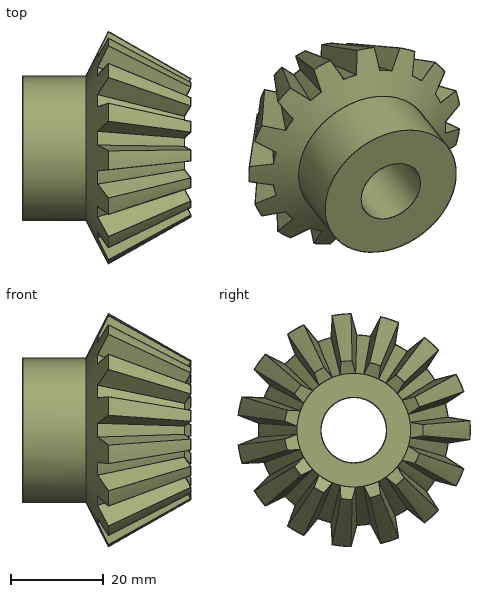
import cadquery as cq
import math

tooth_count = 15
bore_radius = 7.05
hub_radius = 15.6
hub_length = 13.7
overall_length = 36.3

tip_radius = 25.15
tip_x = 18.5
front_tip_radius = 15.0
tip_slope = (tip_radius - front_tip_radius) / (overall_length - tip_x)
apex_x = tip_x + tip_radius / tip_slope

back_slope = (tip_radius - hub_radius) / (tip_x - hub_length)

root_radius = 20.55
root_x = hub_length + (root_radius - hub_radius) / back_slope
root_slope = root_radius / (apex_x - root_x)
front_root_x = (
    (root_slope * apex_x - front_tip_radius + back_slope * overall_length)
    / (root_slope + back_slope)
)
front_root_radius = root_slope * (apex_x - front_root_x)

root_half_angle = math.radians(4.15)
tip_half_angle = math.radians(7.35)
flank_extension = 1.6
cutter_overrun = 4.0


def make_blank():
    profile = [
        (0, bore_radius),
        (0, hub_radius),
        (hub_length, hub_radius),
        (tip_x, tip_radius),
        (overall_length, front_tip_radius),
        (front_root_x, front_root_radius),
        (front_root_x, bore_radius),
    ]
    return cq.Workplane("XY").polyline(profile).close().revolve(360, (0, 0), (1, 0))


def gap_section(x):
    """Gap outline in the plane at x, shrinking towards the apex; centred on -Y."""
    distance = apex_x - x
    root = root_slope * distance
    tip = tip_slope * distance
    root_y = -root * math.cos(root_half_angle)
    root_z = root * math.sin(root_half_angle)
    tip_y = -tip * math.cos(tip_half_angle)
    tip_z = tip * math.sin(tip_half_angle)
    outer_y = root_y + flank_extension * (tip_y - root_y)
    outer_z = root_z + flank_extension * (tip_z - root_z)
    return (
        cq.Workplane("YZ", origin=(x, 0, 0))
        .moveTo(root_y, root_z)
        .threePointArc((-root, 0), (root_y, -root_z))
        .lineTo(outer_y, -outer_z)
        .lineTo(outer_y, outer_z)
        .close()
        .val()
    )


def make_gap():
    back = gap_section(hub_length)
    front = gap_section(overall_length + cutter_overrun)
    return cq.Workplane(cq.Solid.makeLoft([back, front], True))


result = make_blank()
gap = make_gap()
for index in range(tooth_count):
    turn = index * 360 / tooth_count
    result = result.cut(gap.rotate((0, 0, 0), (1, 0, 0), turn))